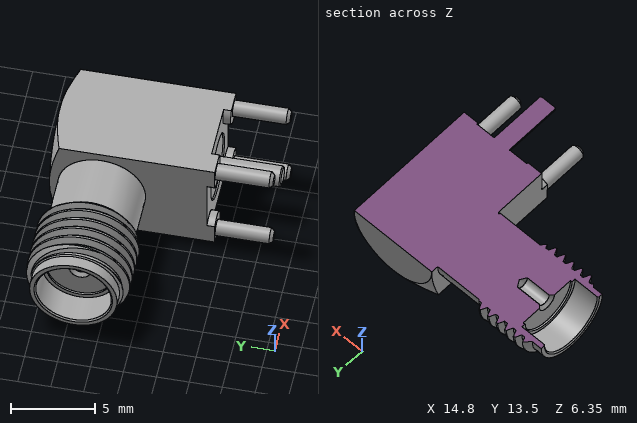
import cadquery as cq
import math

body_width = 6.35
body_half = body_width / 2
body_length = 10.03
body_rear_y = body_half
feet_y = body_rear_y - body_length
rear_cone_angle = 24.0

foot_height = 0.47
foot_radius = 1.0
floor_y = feet_y + foot_height

floor_recess_radius = 2.03
floor_recess_depth = 0.1
floor_recess_y = floor_y + floor_recess_depth

overall_length_y = 13.5
pin_tip_y = body_rear_y - overall_length_y
pin_offset = 2.54
corner_pin_radius = 0.5
corner_pin_chamfer = 0.2
center_pin_radius = 0.635
center_pin_chamfer = 0.08

barrel_radius = 2.66
barrel_length = 8.45
barrel_face_x = -body_half - barrel_length

inch = 25.4
threads_per_inch = 36
thread_pitch = inch / threads_per_inch
thread_root_radius = 2.74
thread_crest_radius = 3.15
thread_setback = 0.73
thread_length = 4.37
thread_start_x = barrel_face_x + thread_setback
thread_end_x = thread_start_x + thread_length
ridge_base_width = 0.5
ridge_crest_width = 0.14
ridge_embed = 0.1
ridge_turns = 8
ridge_lead_in = 0.56
envelope_margin = 0.05

bore_radius = 2.29
bore_depth = 1.9
bore_mouth_chamfer = 0.09
insulator_radius = 2.03
insulator_recess = 0.13
contact_radius = 0.64
contact_hole_radius = 0.42
contact_countersink = contact_radius - contact_hole_radius
contact_hole_depth = 2.0
contact_tip_angle = 118.0


def rod_toward_minus_y(x, z, radius, start_y, end_y):
    """Round rod parallel to Y, running from start_y down to end_y."""
    plane = cq.Plane(origin=(x, start_y, z), xDir=(1, 0, 0), normal=(0, -1, 0))
    return cq.Workplane(plane).circle(radius).extrude(start_y - end_y)


def cylinder_along_x(start_x, radius, length):
    """Plain cylinder on the X axis, running toward +X from start_x."""
    return cq.Workplane("YZ", origin=(start_x, 0, 0)).circle(radius).extrude(length)


def turned_about_x(outline):
    """Solid of revolution about X from (x, radius) points."""
    return cq.Workplane("XY").polyline(outline).close().revolve(360, (0, 0, 0), (1, 0, 0))


def make_body():
    """Square block whose rear corners are trimmed by a cone about the Y axis, with a floor recess."""
    block = cq.Workplane("XY").box(body_width, body_rear_y - floor_y, body_width)
    block = block.translate((0, (body_rear_y + floor_y) / 2, 0))

    trim_radius = body_width
    trim_drop = (trim_radius - body_half) * math.tan(math.radians(rear_cone_angle))
    envelope = (
        cq.Workplane("XY")
        .moveTo(0, floor_y)
        .lineTo(trim_radius, floor_y)
        .lineTo(trim_radius, body_rear_y - trim_drop)
        .lineTo(body_half, body_rear_y)
        .lineTo(0, body_rear_y)
        .close()
        .revolve(360, (0, 0, 0), (0, 1, 0))
    )
    recess = rod_toward_minus_y(0, 0, floor_recess_radius, floor_recess_y, floor_y)
    return block.intersect(envelope).cut(recess)


def make_feet_and_pins():
    """Four corner pins on feet clipped to the block outline, plus the center pin."""
    square = cq.Workplane("XY").box(body_width, 2 * body_length, body_width)
    pins = rod_toward_minus_y(0, 0, center_pin_radius, floor_recess_y, pin_tip_y)
    pins = pins.faces("<Y").chamfer(center_pin_chamfer)
    for x in (-pin_offset, pin_offset):
        for z in (-pin_offset, pin_offset):
            foot = rod_toward_minus_y(x, z, foot_radius, floor_y, feet_y).intersect(square)
            pin = rod_toward_minus_y(x, z, corner_pin_radius, feet_y, pin_tip_y)
            pin = pin.faces("<Y").chamfer(corner_pin_chamfer)
            pins = pins.union(foot).union(pin)
    return pins


def make_thread():
    """Helical ridge on a root cylinder, with both ends bevelled at 45 degrees."""
    ridge_length = ridge_turns * thread_pitch
    ridge_start_x = thread_start_x - ridge_lead_in
    helix = cq.Wire.makeHelix(thread_pitch, ridge_length, thread_root_radius)
    inner_radius = thread_root_radius - ridge_embed
    crest_half = ridge_crest_width / 2
    flank_slope = (ridge_base_width / 2 - crest_half) / (thread_crest_radius - thread_root_radius)
    inner_half = crest_half + flank_slope * (thread_crest_radius - inner_radius)
    ridge = (
        cq.Workplane("XZ")
        .moveTo(inner_radius, -inner_half)
        .lineTo(thread_crest_radius, -crest_half)
        .lineTo(thread_crest_radius, crest_half)
        .lineTo(inner_radius, inner_half)
        .close()
        .sweep(cq.Workplane(obj=helix), isFrenet=True)
        .rotate((0, 0, 0), (0, 1, 0), 90)
        .translate((ridge_start_x, 0, 0))
    )

    root = cylinder_along_x(ridge_start_x - thread_pitch, thread_root_radius, ridge_length + 2 * thread_pitch)
    envelope_radius = thread_crest_radius + envelope_margin
    bevel = envelope_radius - barrel_radius
    envelope = turned_about_x([
        (thread_start_x, 0),
        (thread_start_x, barrel_radius),
        (thread_start_x + bevel, envelope_radius),
        (thread_end_x - bevel, envelope_radius),
        (thread_end_x, barrel_radius),
        (thread_end_x, 0),
    ])
    return root.union(ridge).intersect(envelope)


def make_socket():
    """Cutter for the stepped bore and the contact hole with its drilled tip."""
    bore_floor_x = barrel_face_x + bore_depth
    insulator_x = bore_floor_x + insulator_recess
    hole_end_x = insulator_x + contact_hole_depth
    tip_depth = contact_hole_radius / math.tan(math.radians(contact_tip_angle / 2))
    return turned_about_x([
        (barrel_face_x, 0),
        (barrel_face_x, bore_radius + bore_mouth_chamfer),
        (barrel_face_x + bore_mouth_chamfer, bore_radius),
        (bore_floor_x, bore_radius),
        (bore_floor_x, insulator_radius),
        (insulator_x, insulator_radius),
        (insulator_x, contact_radius),
        (insulator_x + contact_countersink, contact_hole_radius),
        (hole_end_x, contact_hole_radius),
        (hole_end_x + tip_depth, 0),
    ])


result = (
    make_body()
    .union(make_feet_and_pins())
    .union(cylinder_along_x(barrel_face_x, barrel_radius, barrel_length))
    .union(make_thread())
    .cut(make_socket())
)